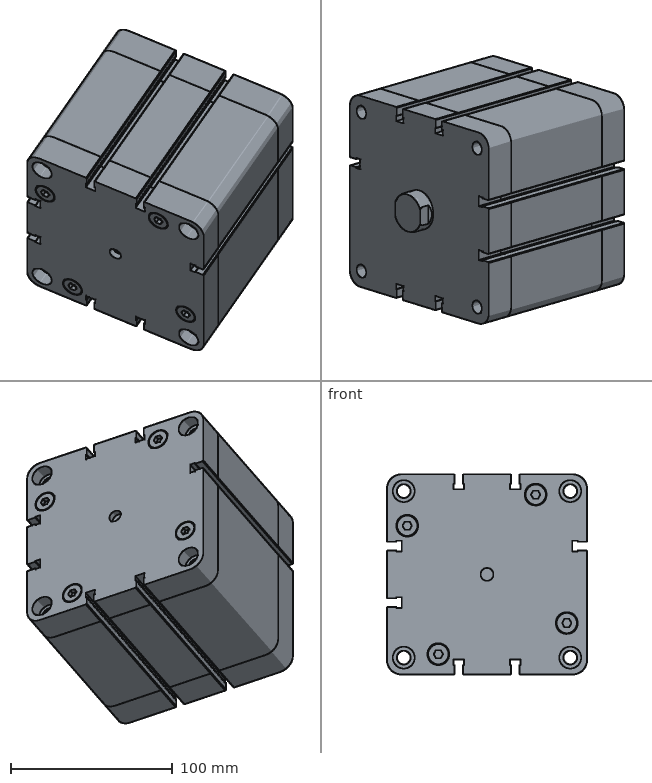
import cadquery as cq
import math

QUARTER_TURNS = (0, 90, 180, 270)

side = 124.0
total_length = 126.5
rod_length = 10.0
body_length = total_length - rod_length
cap_length = 19.2
barrel_length = body_length - 2 * cap_length
cap_corner_radius = 9.2
barrel_inset = 0.1
barrel_side = side - 2 * barrel_inset
barrel_corner_radius = 8.7

slot_offset = 17.5
slot_mouth_width = 5.2
slot_mouth_chamfer = 0.5
slot_neck_depth = 5.8
slot_width = 6.5
slot_depth = 9.2

mount_offset = 51.5
mount_hole_diameter = 8.3
mount_bore_diameter = 13.5
mount_bore_depth = 8.7

screw_edge_offset = 49.3
screw_side_offset = 30.1
screw_bore_diameter = 13.5
screw_head_diameter = 12.5
screw_head_height = 5.0
hex_across_corners = 5.8
hex_depth = 3.0

centre_hole_diameter = 8.0
centre_hole_depth = 4.0

rod_diameter = 25.0
rod_tip_chamfer_radial = 0.5
rod_tip_chamfer_length = 1.9
flat_across = 22.0
flat_length = 7.2


def plane_at(y):
    """Sketch plane at the given Y, extruding toward +Y; its local y axis points along -Z."""
    return cq.Workplane(cq.Plane(origin=(0, y, 0), xDir=(1, 0, 0), normal=(0, 1, 0)))


def turned(shape, angle):
    """Shape rotated about the central Y axis; a quarter turn takes +Z to +X."""
    return shape.rotate((0, 0, 0), (0, 1, 0), angle)


def disc(x, z, diameter, y_start, length):
    """Cylinder along Y."""
    return plane_at(y_start).center(x, -z).circle(diameter / 2).extrude(length)


def slot_cutter(y_start, length, top, offset):
    """T-slot along Y that opens upward at z = top, centred at x = offset."""
    half_mouth = slot_mouth_width / 2
    half_slot = slot_width / 2
    right_half = [
        (half_mouth + slot_mouth_chamfer, top),
        (half_mouth, top - slot_mouth_chamfer),
        (half_mouth, top - slot_neck_depth),
        (half_slot, top - slot_neck_depth),
        (half_slot, top - slot_depth),
    ]
    left_half = [(-x, z) for x, z in reversed(right_half)]
    outline = [(offset + x, -z) for x, z in right_half + left_half]
    return plane_at(y_start).polyline(outline).close().extrude(length)


def slotted_block(y_start, length, width, corner_radius):
    """Square block along Y with rounded long edges and T-slots in its four sides.

    Every side has two slots, except that +X has only the upper one.
    """
    block = plane_at(y_start).rect(width, width).extrude(length).edges("|Y").fillet(corner_radius)
    for turn in QUARTER_TURNS:
        for offset in (-slot_offset, slot_offset):
            is_lower_right = turn == 90 and offset > 0
            if not is_lower_right:
                cutter = slot_cutter(y_start, length, width / 2, offset)
                block = block.cut(turned(cutter, turn))
    return block


def screw_centre(turn):
    """X and Z of a cap screw, turned about the central axis from the one near the top side."""
    angle = math.radians(turn)
    x = screw_side_offset * math.cos(angle) + screw_edge_offset * math.sin(angle)
    z = screw_edge_offset * math.cos(angle) - screw_side_offset * math.sin(angle)
    return x, z


def rod_end():
    """Rod stub with a tapered tip and two wrench flats facing +X and -X."""
    radius = rod_diameter / 2
    profile = [
        (0, body_length),
        (radius, body_length),
        (radius, total_length - rod_tip_chamfer_length),
        (radius - rod_tip_chamfer_radial, total_length),
        (0, total_length),
    ]
    rod = cq.Workplane("XY").polyline(profile).close().revolve(360, (0, 0, 0), (0, 1, 0))
    half_flat = flat_across / 2
    runout = radius - half_flat
    flat_end = total_length - flat_length
    flat_profile = [
        (half_flat, total_length),
        (half_flat, flat_end),
        (radius, flat_end - runout),
        (radius, total_length),
    ]
    flat = cq.Workplane("XY").polyline(flat_profile).close().extrude(radius, both=True)
    return rod.cut(flat).cut(flat.mirror("YZ"))


body = slotted_block(0, cap_length, side, cap_corner_radius)
body = body.union(slotted_block(cap_length, barrel_length, barrel_side, barrel_corner_radius))
body = body.union(slotted_block(body_length - cap_length, cap_length, side, cap_corner_radius))

for x in (-mount_offset, mount_offset):
    for z in (-mount_offset, mount_offset):
        body = body.cut(disc(x, z, mount_hole_diameter, 0, body_length))
        body = body.cut(disc(x, z, mount_bore_diameter, 0, mount_bore_depth))

for turn in QUARTER_TURNS:
    x, z = screw_centre(turn)
    bore = disc(x, z, screw_bore_diameter, 0, screw_head_height)
    head = disc(x, z, screw_head_diameter, 0, screw_head_height)
    socket = plane_at(0).center(x, -z).polygon(6, hex_across_corners).extrude(hex_depth)
    body = body.cut(bore.cut(head)).cut(socket)

body = body.cut(disc(0, 0, centre_hole_diameter, 0, centre_hole_depth))

result = body.union(rod_end())